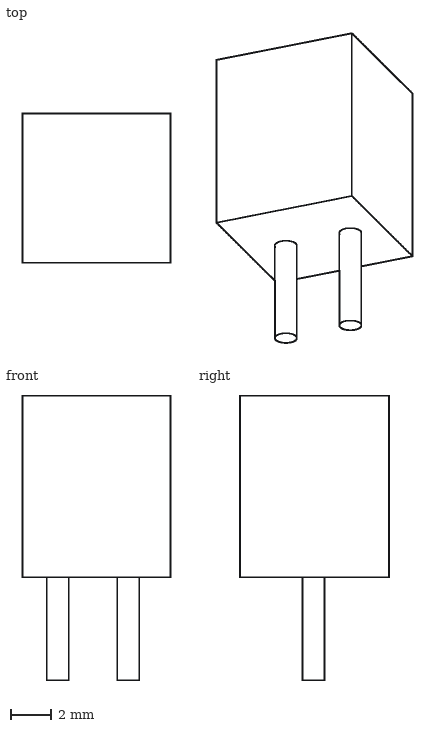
import cadquery as cq

housing_length = 7.35
housing_width = 7.4
housing_height = 9.0

total_height = 14.11
pin_diameter = 1.1
pin_pitch = 3.5
pin_length = total_height - housing_height

housing_offset_x = 0.175
housing_offset_y = 0.05


def make_housing():
    """Plain rectangular block with its underside at Z = 0."""
    return (
        cq.Workplane("XY")
        .center(housing_offset_x, housing_offset_y)
        .rect(housing_length, housing_width)
        .extrude(housing_height)
    )


def make_pin(x):
    """Straight round pin that touches the underside of the housing."""
    return cq.Workplane("XY").center(x, 0).circle(pin_diameter / 2).extrude(-pin_length)


housing = make_housing()
pins = [make_pin(side * pin_pitch / 2) for side in (-1, 1)]

result = cq.Compound.makeCompound([housing.val(), *[pin.val() for pin in pins]])